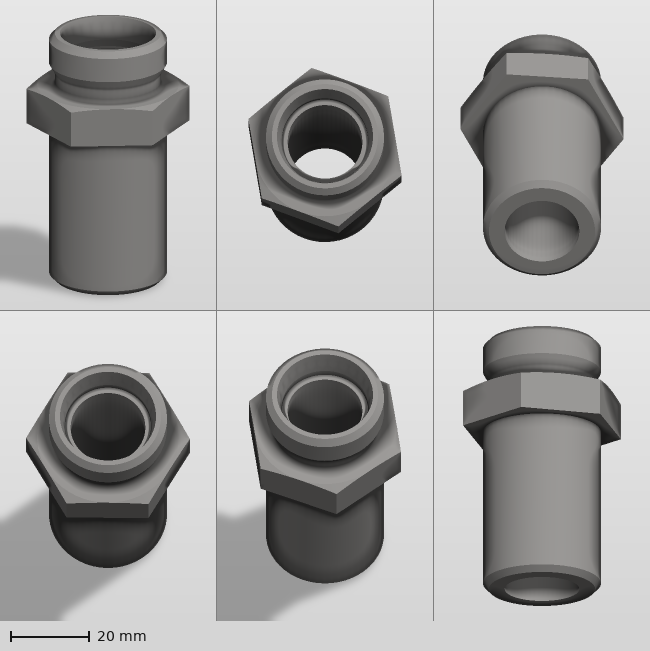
import cadquery as cq
import math

total_height = 66.0
hex_across_flats = 36.05
hex_bottom = 42.05
hex_top = 52.0
hex_chamfer_angle = 15.0

body_diameter = 30.0
end_chamfer = 1.5
neck_diameter = 27.0
neck_fillet = 1.0
neck_flank_angle = 30.0
collar_bottom = 58.2

bore_diameter = 19.0
socket_diameter = 22.0
mouth_diameter = 24.4
cone_half_angle = 12.0
socket_depth = 7.5

body_radius = body_diameter / 2
neck_radius = neck_diameter / 2
socket_radius = socket_diameter / 2
mouth_radius = mouth_diameter / 2


def turned_body():
    """Revolved stem, neck filleted at both ends, and chamfered collar."""
    foot_radius = neck_radius + neck_fillet
    foot_center_z = hex_top + neck_fillet
    flank_angle = math.radians(neck_flank_angle)
    corner_z = collar_bottom - (body_radius - neck_radius) / math.tan(flank_angle)
    upper_center_z = corner_z - neck_fillet * math.tan(flank_angle / 2)

    def fillet_point(center_z, angle):
        """Point on a neck fillet, at an angle above its tangent point on the neck."""
        return (
            foot_radius - neck_fillet * math.cos(angle),
            center_z + neck_fillet * math.sin(angle),
        )

    return (
        cq.Workplane("XZ")
        .moveTo(0, 0)
        .lineTo(body_radius - end_chamfer, 0)
        .lineTo(body_radius, end_chamfer)
        .lineTo(body_radius, hex_bottom)
        .lineTo(foot_radius, hex_bottom)
        .lineTo(foot_radius, hex_top)
        .threePointArc(fillet_point(foot_center_z, -math.pi / 4), (neck_radius, foot_center_z))
        .lineTo(neck_radius, upper_center_z)
        .threePointArc(
            fillet_point(upper_center_z, flank_angle / 2),
            fillet_point(upper_center_z, flank_angle),
        )
        .lineTo(body_radius, collar_bottom)
        .lineTo(body_radius, total_height - end_chamfer)
        .lineTo(body_radius - end_chamfer, total_height)
        .lineTo(0, total_height)
        .close()
        .revolve(360, (0, 0, 0), (0, 1, 0))
    )


def hexagon():
    """Hexagon with flats facing +X and -X, its top corners turned to a cone."""
    corner_radius = hex_across_flats / math.sqrt(3)
    flat_radius = hex_across_flats / 2
    corner_drop = (corner_radius - flat_radius) * math.tan(math.radians(hex_chamfer_angle))
    prism = (
        cq.Workplane("XY")
        .workplane(offset=hex_bottom)
        .polygon(6, 2 * corner_radius)
        .extrude(hex_top - hex_bottom)
        .rotate((0, 0, 0), (0, 0, 1), 30)
    )
    envelope = (
        cq.Workplane("XZ")
        .moveTo(0, hex_bottom)
        .lineTo(corner_radius, hex_bottom)
        .lineTo(corner_radius, hex_top - corner_drop)
        .lineTo(flat_radius, hex_top)
        .lineTo(0, hex_top)
        .close()
        .revolve(360, (0, 0, 0), (0, 1, 0))
    )
    return prism.intersect(envelope)


def bore():
    """Through bore, stepped tube socket and conical mouth."""
    cone_depth = (mouth_radius - socket_radius) / math.tan(math.radians(cone_half_angle))
    return (
        cq.Workplane("XZ")
        .moveTo(0, 0)
        .lineTo(bore_diameter / 2, 0)
        .lineTo(bore_diameter / 2, total_height - socket_depth)
        .lineTo(socket_radius, total_height - socket_depth)
        .lineTo(socket_radius, total_height - cone_depth)
        .lineTo(mouth_radius, total_height)
        .lineTo(0, total_height)
        .close()
        .revolve(360, (0, 0, 0), (0, 1, 0))
    )


result = turned_body().union(hexagon()).cut(bore())